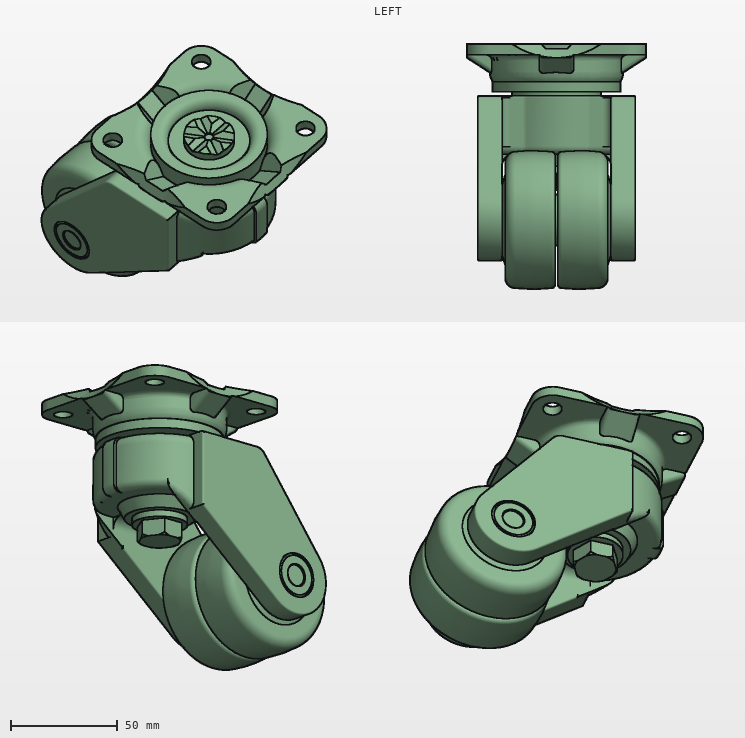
import cadquery as cq
import math


OVERALL_LENGTH = 127.5
OVERALL_HEIGHT = 115.0

ARC_INSET = 1 - math.sqrt(0.5)

PLATE_SIDE = 84.0
PLATE_THICKNESS = 5.2
PLATE_CORNER_RADIUS = 10.2
BOLT_HOLE_OFFSET = 32.0
BOLT_HOLE_DIAMETER = 8.8

DISH_INNER_RADIUS = 27.3
DISH_OUTER_RADIUS = 31.4
DISH_MOUTH_ROUND = 7.6
DISH_ROOT_ROUND = 2.5
DISH_FLOOR_Z = -12.8
DISH_BEND_RADIUS = 31.0
DISH_BEND_Z = -15.5
DISH_RIM_RADIUS = 29.8
RACE_RADIUS = 30.1
RACE_TOP_Z = -17.8
RACE_BOTTOM_Z = -22.6

TAB_ANGLE = 33.0
TAB_EDGE_DROP = 6.5
TAB_THICKNESS = 5.0
CHANNEL_LEAD_IN = 1.3
CHANNEL_LENGTH = 16.6
CHANNEL_HALF_WIDTH = 5.1
CHANNEL_FLARE = 40.0
CHANNEL_HEIGHT = 10.2
TAB_HALF_WIDTH = 8.2
TAB_ROUND = 2.3
NOTCH_HALF_WIDTH = 21.0
NOTCH_DEPTH = 5.1

RECESS_RIM_RADIUS = 23.8
RECESS_DEPTH = 4.7
STAR_RADIUS = 11.9
STAR_PEAK_Z = -0.1
STAR_RIM_Z = -0.5
STAR_VALLEY_Z = -1.9
STAR_GROOVE_SLOPE = 0.45
STAR_HOLE_RADIUS = 2.2
STAR_HOLE_DEPTH = 0.5
SHANK_RADIUS = 10.2
COLLAR_RADIUS = 13.0
COLLAR_BOTTOM_Z = -60.5
HEX_CORNER_RADIUS = 11.0
HEX_BOTTOM_Z = -68.6
HEX_CHAMFER = 1.1

FORK_TOP_Z = -24.4
FORK_HALF_WIDTH = 37.0
ARM_INNER_Y = 25.5
ARM_BACK_X = 6.1
ARM_CREST_ROUND = 6.4
ARM_EDGE_ROUND = 0.9
ARM_END_RADIUS = 19.1
ARM_FRONT_ANGLE = 51.6
ARM_BOTTOM_ANGLE = 37.8
HUB_RADIUS = 31.2
HUB_PAD_RADIUS = 32.6
HUB_PAD_HALF_WIDTH = 3.8
HUB_BOTTOM_Z = -51.8
HUB_TOP_ROUND = 5.1
HUB_BOTTOM_ROUND = 3.6
WALL_X = -26.4
BULGE_RADIUS = 30.2
WALL_CORNER_ROUND = 3.6
BULGE_CORNER_ROUND = 3.6
ARM_ROOT_ROUND = 5.5
SKIRT_ROUND = 3.0
SEAT_RADIUS = 20.9
BOSS_TOP_RADIUS = 19.8
BOSS_BOTTOM_RADIUS = 16.6
BOSS_BOTTOM_Z = -57.4

WHEEL_RADIUS = 32.5
AXLE_X = WHEEL_RADIUS + PLATE_SIDE / 2 - OVERALL_LENGTH
AXLE_Z = WHEEL_RADIUS - OVERALL_HEIGHT
WHEEL_INNER_Y = 0.5
WHEEL_OUTER_Y = 24.1
TREAD_CROWN = 0.5
INNER_ROUND = 2.0
OUTER_ROUND = 5.0
INNER_HUB_RADIUS = 12.0
CONE_BASE_RADIUS = 20.9
CONE_TIP_RADIUS = 16.8

AXLE_RADIUS = 5.5
AXLE_HEAD_RADIUS = 10.7
AXLE_HEAD_CHAMFER = 1.1
AXLE_DIMPLE_DEPTH = 0.6
AXLE_DIMPLE_TAPER = 30.0


def z_cylinder(radius, bottom_z, top_z):
    return cq.Workplane("XY").workplane(offset=bottom_z).circle(radius).extrude(top_z - bottom_z)


def make_dish():
    """Revolved outside of the dish and the bearing race under it."""
    root = DISH_OUTER_RADIUS + DISH_ROOT_ROUND
    diagonal = DISH_ROOT_ROUND * ARC_INSET
    return (
        cq.Workplane("XZ")
        .moveTo(0, 0)
        .lineTo(root, 0)
        .lineTo(root, -PLATE_THICKNESS)
        .threePointArc(
            (DISH_OUTER_RADIUS + diagonal, -PLATE_THICKNESS - diagonal),
            (DISH_OUTER_RADIUS, -PLATE_THICKNESS - DISH_ROOT_ROUND),
        )
        .lineTo(DISH_OUTER_RADIUS, DISH_FLOOR_Z)
        .threePointArc((DISH_BEND_RADIUS, DISH_BEND_Z), (DISH_RIM_RADIUS, RACE_TOP_Z))
        .lineTo(RACE_RADIUS, RACE_TOP_Z)
        .lineTo(RACE_RADIUS, RACE_BOTTOM_Z)
        .lineTo(0, RACE_BOTTOM_Z)
        .close()
        .revolve()
    )


def make_dish_cavity():
    """Round pocket with a trumpet mouth, down to the dish floor."""
    mouth = DISH_INNER_RADIUS + DISH_MOUTH_ROUND
    diagonal = DISH_MOUTH_ROUND * ARC_INSET
    return (
        cq.Workplane("XZ")
        .moveTo(0, 0)
        .lineTo(mouth, 0)
        .threePointArc((DISH_INNER_RADIUS + diagonal, -diagonal), (DISH_INNER_RADIUS, -DISH_MOUTH_ROUND))
        .lineTo(DISH_INNER_RADIUS, DISH_FLOOR_Z)
        .lineTo(0, DISH_FLOOR_Z)
        .close()
        .revolve()
    )


def make_tab():
    """Rib under the -Y side with a sloping, round-edged underside running into the dish wall."""
    slope = math.radians(TAB_ANGLE)
    run = PLATE_SIDE / 2 - DISH_INNER_RADIUS
    top_z = -PLATE_THICKNESS / 2
    return (
        cq.Workplane("YZ", origin=(-TAB_HALF_WIDTH, 0, 0))
        .polyline(
            [
                (-PLATE_SIDE / 2, top_z),
                (-PLATE_SIDE / 2, -TAB_EDGE_DROP),
                (-DISH_INNER_RADIUS, -TAB_EDGE_DROP - run * math.tan(slope)),
                (-DISH_INNER_RADIUS, top_z),
            ]
        )
        .close()
        .extrude(2 * TAB_HALF_WIDTH)
        .faces("<Z")
        .edges("not |X")
        .fillet(TAB_ROUND)
    )


def make_channel():
    """Trough along the slope of the -Y tab, with sides that flare outwards."""
    slope = math.radians(TAB_ANGLE)
    trough_plane = cq.Plane(
        origin=(
            0,
            -PLATE_SIDE / 2 + TAB_THICKNESS * math.sin(slope),
            -TAB_EDGE_DROP + TAB_THICKNESS * math.cos(slope),
        ),
        xDir=(-1, 0, 0),
        normal=(0, math.cos(slope), -math.sin(slope)),
    )
    top_half_width = CHANNEL_HALF_WIDTH + CHANNEL_HEIGHT * math.tan(math.radians(CHANNEL_FLARE))
    return (
        cq.Workplane(trough_plane)
        .workplane(offset=-CHANNEL_LEAD_IN)
        .polyline(
            [
                (-CHANNEL_HALF_WIDTH, 0),
                (CHANNEL_HALF_WIDTH, 0),
                (top_half_width, CHANNEL_HEIGHT),
                (-top_half_width, CHANNEL_HEIGHT),
            ]
        )
        .close()
        .extrude(CHANNEL_LEAD_IN + CHANNEL_LENGTH)
    )


def make_edge_notch():
    """Conical bevel in the middle of the -Y side, square to the tab slope at its lowest point."""
    mouth_radius = (NOTCH_HALF_WIDTH**2 + TAB_EDGE_DROP**2) / (2 * TAB_EDGE_DROP)
    end_radius = mouth_radius - NOTCH_DEPTH / math.tan(math.radians(TAB_ANGLE))
    cone = cq.Solid.makeCone(
        mouth_radius,
        end_radius,
        NOTCH_DEPTH,
        pnt=cq.Vector(0, -PLATE_SIDE / 2, mouth_radius - TAB_EDGE_DROP),
        dir=cq.Vector(0, 1, 0),
    )
    return cq.Workplane(obj=cone)


def make_plate():
    plate = (
        cq.Workplane("XY")
        .rect(PLATE_SIDE, PLATE_SIDE)
        .extrude(-PLATE_THICKNESS)
        .edges("|Z")
        .fillet(PLATE_CORNER_RADIUS)
        .union(make_dish())
    )
    tab = make_tab()
    notch = make_edge_notch()
    channel = make_channel()
    for side in range(4):
        turn = 90 * side
        plate = plate.union(tab.rotate((0, 0, 0), (0, 0, 1), turn))
        plate = plate.cut(notch.rotate((0, 0, 0), (0, 0, 1), turn))
        plate = plate.cut(channel.rotate((0, 0, 0), (0, 0, 1), turn))
    bolt_holes = (
        cq.Workplane("XY")
        .rect(2 * BOLT_HOLE_OFFSET, 2 * BOLT_HOLE_OFFSET, forConstruction=True)
        .vertices()
        .circle(BOLT_HOLE_DIAMETER / 2)
        .extrude(-PLATE_THICKNESS)
    )
    plate = plate.cut(make_dish_cavity()).cut(bolt_holes)
    return plate.cut(z_cylinder(SHANK_RADIUS, RACE_BOTTOM_Z, 0))


def make_star():
    """Domed stud with three V grooves crossing at its centre."""
    stud = (
        cq.Workplane("XZ")
        .polyline(
            [
                (0, -RECESS_DEPTH),
                (STAR_RADIUS, -RECESS_DEPTH),
                (STAR_RADIUS, STAR_RIM_Z),
                (0, STAR_PEAK_Z),
            ]
        )
        .close()
        .revolve()
    )
    groove_half_width = STAR_RADIUS / 2
    groove = (
        cq.Workplane("XZ")
        .polyline(
            [
                (0, STAR_VALLEY_Z),
                (groove_half_width, STAR_VALLEY_Z + groove_half_width * STAR_GROOVE_SLOPE),
                (-groove_half_width, STAR_VALLEY_Z + groove_half_width * STAR_GROOVE_SLOPE),
            ]
        )
        .close()
        .extrude(STAR_RADIUS, both=True)
    )
    for turn in (0, 60, 120):
        stud = stud.cut(groove.rotate((0, 0, 0), (0, 0, 1), turn))
    return stud.cut(z_cylinder(STAR_HOLE_RADIUS, STAR_VALLEY_Z - STAR_HOLE_DEPTH, 0))


def make_kingpin():
    diagonal = RECESS_DEPTH * math.sqrt(0.5)
    floor_radius = RECESS_RIM_RADIUS - RECESS_DEPTH
    head = (
        cq.Workplane("XZ")
        .moveTo(0, DISH_FLOOR_Z)
        .lineTo(DISH_INNER_RADIUS, DISH_FLOOR_Z)
        .lineTo(DISH_INNER_RADIUS, 0)
        .lineTo(RECESS_RIM_RADIUS, 0)
        .threePointArc(
            (RECESS_RIM_RADIUS - diagonal, diagonal - RECESS_DEPTH),
            (floor_radius, -RECESS_DEPTH),
        )
        .lineTo(0, -RECESS_DEPTH)
        .close()
        .revolve()
    )
    hexagon = (
        cq.Workplane("XY")
        .workplane(offset=HEX_BOTTOM_Z)
        .polygon(6, 2 * HEX_CORNER_RADIUS)
        .extrude(COLLAR_BOTTOM_Z - HEX_BOTTOM_Z)
        .intersect(
            z_cylinder(HEX_CORNER_RADIUS, HEX_BOTTOM_Z, COLLAR_BOTTOM_Z).faces("<Z").chamfer(HEX_CHAMFER)
        )
    )
    return (
        head.union(make_star())
        .union(z_cylinder(SHANK_RADIUS, BOSS_BOTTOM_Z, DISH_FLOOR_Z))
        .union(z_cylinder(COLLAR_RADIUS, COLLAR_BOTTOM_Z, BOSS_BOTTOM_Z))
        .union(hexagon)
    )


def slope_z(x):
    """Height of the lower sloping edge of the arms, tangent to the rounded end."""
    slope = math.radians(ARM_BOTTOM_ANGLE)
    return AXLE_Z - ARM_END_RADIUS / math.cos(slope) + (x - AXLE_X) * math.tan(slope)


def make_arm():
    """Arm on the +Y side: straight sides tangent to a round end about the axle."""
    front = math.radians(ARM_FRONT_ANGLE)
    bottom = math.radians(ARM_BOTTOM_ANGLE)
    middle = (front - bottom) / 2
    front_tangent = (
        AXLE_X - ARM_END_RADIUS * math.sin(front),
        AXLE_Z + ARM_END_RADIUS * math.cos(front),
    )
    bottom_tangent = (
        AXLE_X + ARM_END_RADIUS * math.sin(bottom),
        AXLE_Z - ARM_END_RADIUS * math.cos(bottom),
    )
    end_middle = (
        AXLE_X - ARM_END_RADIUS * math.sin(math.pi / 4 + middle),
        AXLE_Z - ARM_END_RADIUS * math.cos(math.pi / 4 + middle),
    )
    crest_x = front_tangent[0] + (FORK_TOP_Z - front_tangent[1]) / math.tan(front)
    arm = (
        cq.Workplane("XZ", origin=(0, FORK_HALF_WIDTH, 0))
        .moveTo(ARM_BACK_X, FORK_TOP_Z)
        .lineTo(crest_x, FORK_TOP_Z)
        .lineTo(*front_tangent)
        .threePointArc(end_middle, bottom_tangent)
        .lineTo(ARM_BACK_X, slope_z(ARM_BACK_X))
        .close()
        .extrude(FORK_HALF_WIDTH - ARM_INNER_Y)
    )
    crest = (crest_x, (FORK_HALF_WIDTH + ARM_INNER_Y) / 2, FORK_TOP_Z)
    arm = arm.edges(cq.selectors.NearestToPointSelector(crest)).fillet(ARM_CREST_ROUND)
    arm = arm.faces(">Y").edges().fillet(ARM_EDGE_ROUND)
    wheel_side = cq.selectors.BoxSelector(
        (AXLE_X - WHEEL_RADIUS, ARM_INNER_Y - ARM_EDGE_ROUND, AXLE_Z - WHEEL_RADIUS),
        (WALL_X, ARM_INNER_Y + ARM_EDGE_ROUND, FORK_TOP_Z - ARM_EDGE_ROUND),
    )
    return arm.faces("<Y").edges(wheel_side).fillet(ARM_EDGE_ROUND)


def make_skirt():
    """Carries the +Y arm on into the hub, down to the sloping lower edge."""
    flat_x = ARM_BACK_X + (HUB_BOTTOM_Z - slope_z(ARM_BACK_X)) / math.tan(math.radians(ARM_BOTTOM_ANGLE))
    slab = (
        cq.Workplane("XZ", origin=(0, HUB_RADIUS, 0))
        .polyline(
            [
                (0, slope_z(0)),
                (flat_x, HUB_BOTTOM_Z),
                (flat_x + HUB_BOTTOM_ROUND, HUB_BOTTOM_Z + HUB_BOTTOM_ROUND),
                (0, HUB_BOTTOM_Z + HUB_BOTTOM_ROUND),
            ]
        )
        .close()
        .extrude(HUB_RADIUS - ARM_INNER_Y)
    )
    skirt = slab.intersect(z_cylinder(HUB_RADIUS, slope_z(0), FORK_TOP_Z))
    rim_x = (ARM_BACK_X + flat_x) / 2
    rim_point = (rim_x, math.sqrt(HUB_RADIUS**2 - rim_x**2), slope_z(rim_x))
    return skirt.edges(cq.selectors.NearestToPointSelector(rim_point)).fillet(SKIRT_ROUND)


def rounded_drum(radius):
    """Upright drum of the hub height with its top and bottom rims rounded."""
    return (
        z_cylinder(radius, HUB_BOTTOM_Z, FORK_TOP_Z)
        .faces(">Z")
        .edges()
        .fillet(HUB_TOP_ROUND)
        .faces("<Z")
        .edges()
        .fillet(HUB_BOTTOM_ROUND)
    )


def make_hub_rear():
    """Round rear half of the hub with a slightly proud pad at the back."""
    height = FORK_TOP_Z - HUB_BOTTOM_Z
    base = cq.Workplane("XY", origin=(0, 0, HUB_BOTTOM_Z))
    rear_half = base.box(HUB_RADIUS, 2 * HUB_RADIUS, height, centered=(False, True, False))
    pad_strip = base.box(HUB_PAD_RADIUS, 2 * HUB_PAD_HALF_WIDTH, height, centered=(False, True, False))
    drum = rounded_drum(HUB_RADIUS).intersect(rear_half)
    return drum.union(rounded_drum(HUB_PAD_RADIUS).intersect(pad_strip))


def make_hub_front():
    """Flat front wall between the arms, with a round bulge in its middle."""
    height = FORK_TOP_Z - HUB_BOTTOM_Z
    half_width = ARM_INNER_Y + ARM_EDGE_ROUND
    base = cq.Workplane("XY", origin=(0, 0, HUB_BOTTOM_Z))
    wall = base.box(-WALL_X, 2 * half_width, height, centered=(False, True, False)).translate((WALL_X, 0, 0))
    front_half = base.box(
        BULGE_RADIUS, 2 * ARM_INNER_Y, height, centered=(False, True, False)
    ).translate((-BULGE_RADIUS, 0, 0))
    bulge = z_cylinder(BULGE_RADIUS, HUB_BOTTOM_Z, FORK_TOP_Z).intersect(front_half)
    front = wall.union(bulge)
    bulge_end_y = math.sqrt(BULGE_RADIUS**2 - WALL_X**2)
    middle_z = (FORK_TOP_Z + HUB_BOTTOM_Z) / 2
    for end_y in (bulge_end_y, -bulge_end_y):
        corner = cq.selectors.NearestToPointSelector((WALL_X, end_y, middle_z))
        front = front.edges("|Z").edges(corner).fillet(BULGE_CORNER_ROUND)
    lower_tip = cq.selectors.NearestToPointSelector((-BULGE_RADIUS, 0, HUB_BOTTOM_Z))
    upper_tip = cq.selectors.NearestToPointSelector((-BULGE_RADIUS, 0, FORK_TOP_Z))
    front = front.edges(lower_tip).fillet(HUB_BOTTOM_ROUND)
    return front.edges(upper_tip).fillet(ARM_EDGE_ROUND)


def corner_web(plane, size, length):
    """Bar filling the corner at the plane origin, hollowed to a quarter round of the given size."""
    bar = cq.Workplane(plane).rect(size, size, centered=False).extrude(length)
    return bar.cut(cq.Workplane(plane).center(size, size).circle(size).extrude(length))


def make_wall_corner():
    """Concave rounding in the upright corner between the front wall and the +Y arm."""
    top_z = FORK_TOP_Z - ARM_EDGE_ROUND
    bottom_z = HUB_BOTTOM_Z + HUB_BOTTOM_ROUND
    plane = cq.Plane(origin=(WALL_X, ARM_INNER_Y, top_z), xDir=(0, -1, 0), normal=(0, 0, -1))
    return corner_web(plane, WALL_CORNER_ROUND, top_z - bottom_z)


def make_arm_root():
    """Concave rounding in the corner between the hub underside and the +Y arm."""
    start_x = WALL_X + HUB_BOTTOM_ROUND
    plane = cq.Plane(origin=(start_x, ARM_INNER_Y, HUB_BOTTOM_Z), xDir=(0, -1, 0), normal=(1, 0, 0))
    return corner_web(plane, ARM_ROOT_ROUND, ARM_BACK_X - start_x)


def make_boss():
    """Tapered boss under the hub, centred on the kingpin."""
    return (
        cq.Workplane("XZ")
        .polyline(
            [
                (0, HUB_BOTTOM_Z),
                (BOSS_TOP_RADIUS, HUB_BOTTOM_Z),
                (BOSS_BOTTOM_RADIUS, BOSS_BOTTOM_Z),
                (0, BOSS_BOTTOM_Z),
            ]
        )
        .close()
        .revolve()
    )


def y_cylinder(radius, start_y, end_y):
    return cq.Workplane("XZ", origin=(AXLE_X, start_y, AXLE_Z)).circle(radius).extrude(start_y - end_y)


def make_fork():
    seat = z_cylinder(SEAT_RADIUS, FORK_TOP_Z, RACE_BOTTOM_Z)
    fork = make_hub_rear().union(make_hub_front()).union(make_boss()).union(seat)
    for piece in (make_arm(), make_skirt(), make_wall_corner(), make_arm_root()):
        fork = fork.union(piece).union(piece.mirror("XZ"))
    fork = fork.cut(z_cylinder(SHANK_RADIUS, BOSS_BOTTOM_Z, RACE_BOTTOM_Z))
    return fork.cut(y_cylinder(AXLE_HEAD_RADIUS, -FORK_HALF_WIDTH, FORK_HALF_WIDTH))


def make_twin_wheel():
    """Two crowned treads on a common hub, mirrored about the middle plane."""
    edge_radius = WHEEL_RADIUS - TREAD_CROWN
    inner_edge_y = WHEEL_INNER_Y + INNER_ROUND
    outer_edge_y = WHEEL_OUTER_Y - OUTER_ROUND
    half = (
        cq.Workplane("XY")
        .moveTo(AXLE_RADIUS, 0)
        .lineTo(INNER_HUB_RADIUS, 0)
        .lineTo(INNER_HUB_RADIUS, WHEEL_INNER_Y)
        .lineTo(edge_radius - INNER_ROUND, WHEEL_INNER_Y)
        .threePointArc(
            (edge_radius - INNER_ROUND * ARC_INSET, WHEEL_INNER_Y + INNER_ROUND * ARC_INSET),
            (edge_radius, inner_edge_y),
        )
        .threePointArc((WHEEL_RADIUS, (inner_edge_y + outer_edge_y) / 2), (edge_radius, outer_edge_y))
        .threePointArc(
            (edge_radius - OUTER_ROUND * ARC_INSET, WHEEL_OUTER_Y - OUTER_ROUND * ARC_INSET),
            (edge_radius - OUTER_ROUND, WHEEL_OUTER_Y),
        )
        .lineTo(CONE_BASE_RADIUS, WHEEL_OUTER_Y)
        .lineTo(CONE_TIP_RADIUS, ARM_INNER_Y)
        .lineTo(AXLE_RADIUS, ARM_INNER_Y)
        .close()
        .revolve(360, (0, 0, 0), (0, 1, 0))
    )
    return half.union(half.mirror("XZ")).translate((AXLE_X, 0, AXLE_Z))


def make_axle():
    """Shaft through the twin wheel with a chamfered, dimpled head in each arm."""
    axle = y_cylinder(AXLE_RADIUS, -ARM_INNER_Y, ARM_INNER_Y)
    head = y_cylinder(AXLE_HEAD_RADIUS, ARM_INNER_Y, FORK_HALF_WIDTH).faces(">Y").chamfer(AXLE_HEAD_CHAMFER)
    dimple = (
        cq.Workplane("XZ", origin=(AXLE_X, FORK_HALF_WIDTH, AXLE_Z))
        .circle(AXLE_RADIUS)
        .extrude(AXLE_DIMPLE_DEPTH, taper=AXLE_DIMPLE_TAPER)
    )
    head = head.cut(dimple)
    return axle.union(head).union(head.mirror("XZ"))


plate = make_plate()
kingpin = make_kingpin()
fork = make_fork()
twin_wheel = make_twin_wheel()
axle = make_axle()

result = cq.Compound.makeCompound(
    [
        plate.val(),
        kingpin.val(),
        fork.val(),
        twin_wheel.val(),
        axle.val(),
    ]
)